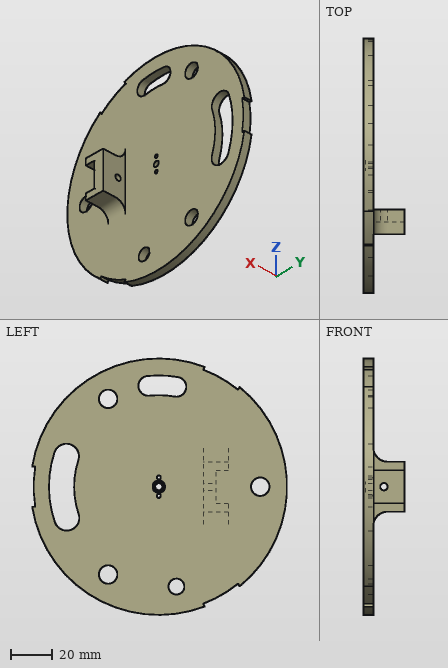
import cadquery as cq
import math

disc_radius = 62.0
disc_thickness = 5.0

notch_count = 3
notch_width = 19.3
notch_floor_radius = 60.5

hole_circle_radius = 48.9
large_hole_diameter = 8.8
large_hole_angles = (0, 120, 240)
small_hole_diameter = 7.5
small_hole_angle = -80

wide_slot_radius = 47.0
wide_slot_width = 12.0
wide_slot_angles = (161.8, 198.8)
narrow_slot_width = 9.4
narrow_slot_angles = (80, 96)

bore_diameter = 3.3
recess_mouth_diameter = 6.1
recess_floor_diameter = 5.0
recess_depth = 0.9
pin_hole_diameter = 1.9
pin_hole_offset = 4.5

overall_depth = 20.0
bracket_front_y = -33.5
bracket_thickness = 12.0
bracket_half_height = 12.1
bracket_fillet = 6.6
channel_width = 16.1
channel_depth = bracket_thickness / 2
cross_hole_diameter = 3.5
cross_hole_x = 2 * disc_thickness


def polar(radius, angle):
    """Point (Y, Z) on the disc face."""
    turn = math.radians(angle)
    return (-radius * math.cos(turn), radius * math.sin(turn))


def cylinder(diameter, depth, center=(0, 0)):
    """Cylinder entering the disc from its front face."""
    return cq.Workplane("YZ").center(*center).circle(diameter / 2).extrude(depth)


def curved_slot(radius, width, angles):
    """Round-ended slot following an arc about the disc centre."""
    start, end = angles
    middle = (start + end) / 2
    inner = radius - width / 2
    outer = radius + width / 2
    band = (
        cq.Workplane("YZ")
        .moveTo(*polar(inner, start))
        .threePointArc(polar(inner, middle), polar(inner, end))
        .lineTo(*polar(outer, end))
        .threePointArc(polar(outer, middle), polar(outer, start))
        .close()
        .extrude(disc_thickness)
    )
    for angle in angles:
        band = band.union(cylinder(width, disc_thickness, polar(radius, angle)))
    return band


def rim_notch(angle):
    """Parallel-sided notch whose floor is concentric with the disc."""
    bar = (
        cq.Workplane("YZ")
        .center(disc_radius, 0)
        .rect(disc_radius, notch_width)
        .extrude(disc_thickness)
    )
    bar = bar.cut(cylinder(2 * notch_floor_radius, disc_thickness))
    return bar.rotate((0, 0, 0), (1, 0, 0), angle)


def tapered_recess():
    mouth = cq.Workplane("YZ").circle(recess_mouth_diameter / 2)
    floor = mouth.workplane(offset=recess_depth).circle(recess_floor_diameter / 2)
    return floor.loft(ruled=True)


def make_disc():
    disc = cylinder(2 * disc_radius, disc_thickness)
    for index in range(notch_count):
        disc = disc.cut(rim_notch(index * 360 / notch_count))
    for angle in large_hole_angles:
        disc = disc.cut(cylinder(large_hole_diameter, disc_thickness, polar(hole_circle_radius, angle)))
    small_hole_center = polar(hole_circle_radius, small_hole_angle)
    disc = disc.cut(cylinder(small_hole_diameter, disc_thickness, small_hole_center))
    disc = disc.cut(curved_slot(wide_slot_radius, wide_slot_width, wide_slot_angles))
    disc = disc.cut(curved_slot(hole_circle_radius, narrow_slot_width, narrow_slot_angles))

    disc = disc.cut(cylinder(bore_diameter, disc_thickness))
    disc = disc.cut(tapered_recess())
    for side in (-1, 1):
        disc = disc.cut(cylinder(pin_hole_diameter, disc_thickness, (0, side * pin_hole_offset)))
    return disc


def make_bracket():
    foot_half_height = bracket_half_height + bracket_fillet
    fillet_end = disc_thickness + bracket_fillet
    arc_inset = bracket_fillet * (1 - math.sqrt(0.5))
    arc_x = disc_thickness + arc_inset
    arc_z = bracket_half_height + arc_inset

    plane = cq.Workplane("XZ", origin=(0, bracket_front_y, 0))
    bracket = (
        plane.moveTo(disc_thickness, -foot_half_height)
        .threePointArc((arc_x, -arc_z), (fillet_end, -bracket_half_height))
        .lineTo(overall_depth, -bracket_half_height)
        .lineTo(overall_depth, bracket_half_height)
        .lineTo(fillet_end, bracket_half_height)
        .threePointArc((arc_x, arc_z), (disc_thickness, foot_half_height))
        .close()
        .extrude(-bracket_thickness)
    )
    channel_length = overall_depth - disc_thickness
    channel = (
        plane.center(disc_thickness + channel_length / 2, 0)
        .rect(channel_length, channel_width)
        .extrude(-channel_depth)
    )
    cross_hole = (
        plane.center(cross_hole_x, 0)
        .circle(cross_hole_diameter / 2)
        .extrude(-bracket_thickness)
    )
    return bracket.cut(channel).cut(cross_hole)


result = make_disc().union(make_bracket())